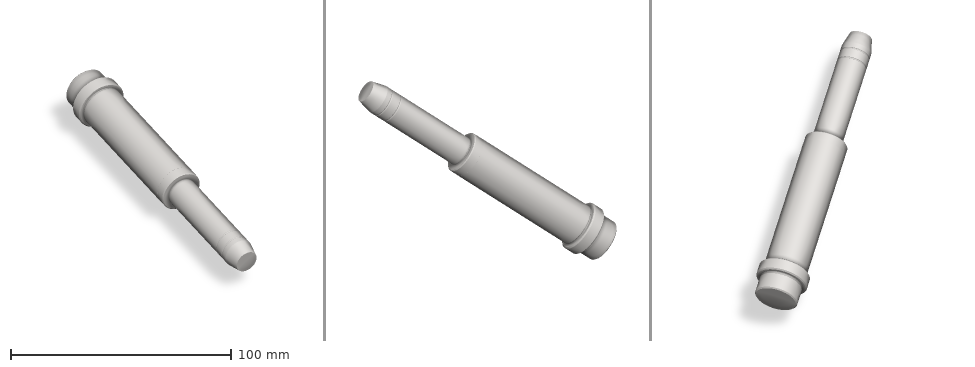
import cadquery as cq

total_length = 140.0
body_radius = 20.0 / 2
collar_radius = 24.0 / 2
shaft_radius = 14.0 / 2
tip_radius = 5.3

collar_start = 9.0
collar_end = 15.0
lead_start = 79.0
body_end = 83.7
ring_groove_starts = (124.6, 129.6)
taper_start = 133.0

edge_chamfer = 0.5
lead_chamfer = 0.4
lead_reduction = 0.04

head_relief_width = 1.1
body_relief_width = 0.8
shaft_relief_width = 0.5
relief_depth = 0.3
ring_groove_width = 0.8
ring_groove_depth = 0.3


def rounded_groove(profile, start, width, radius, depth):
    """Run the profile along the surface to the groove, then through its arc."""
    return profile.lineTo(start, radius).threePointArc(
        (start + width / 2, radius - depth), (start + width, radius)
    )


profile = (
    cq.Workplane("XY")
    .moveTo(0, 0)
    .lineTo(0, body_radius - edge_chamfer)
    .lineTo(edge_chamfer, body_radius)
)

profile = rounded_groove(
    profile, collar_start - head_relief_width, head_relief_width, body_radius, relief_depth
)
profile = (
    profile.lineTo(collar_start, collar_radius - edge_chamfer)
    .lineTo(collar_start + edge_chamfer, collar_radius)
    .lineTo(collar_end - edge_chamfer, collar_radius)
    .lineTo(collar_end, collar_radius - edge_chamfer)
)
profile = rounded_groove(profile, collar_end, body_relief_width, body_radius, relief_depth)

lead_radius = body_radius - lead_reduction
profile = (
    profile.lineTo(lead_start, body_radius)
    .lineTo(lead_start, lead_radius)
    .lineTo(body_end - lead_chamfer, lead_radius)
    .lineTo(body_end, lead_radius - lead_chamfer)
)

profile = rounded_groove(profile, body_end, shaft_relief_width, shaft_radius, relief_depth)
for groove_start in ring_groove_starts:
    profile = rounded_groove(
        profile, groove_start, ring_groove_width, shaft_radius, ring_groove_depth
    )
profile = (
    profile.lineTo(taper_start, shaft_radius)
    .lineTo(total_length, tip_radius)
    .lineTo(total_length, 0)
    .close()
)

result = profile.revolve(360, (0, 0, 0), (1, 0, 0))